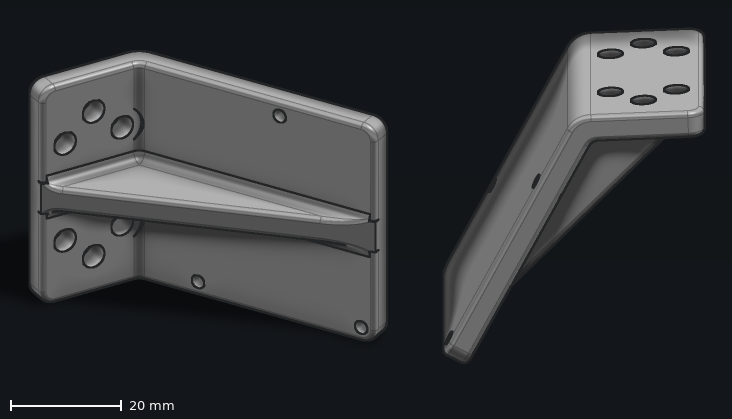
import cadquery as cq
import math

height = 45.0
thickness = 5.0
web_end = 63.5
bend_angle = 60.0
inner_bend_x = 14.2
inner_leg_length = 20.5
outer_bend_radius = 5.0
inner_bend_radius = 1.95
corner_radius = 3.0
edge_radius = 1.0

rib_width = 5.0
rib_root_radius = 1.95
rib_edge_radius = 1.0
flare_trim = 0.05
rib_tip_width = 6.3
tip_depth = 1.15

tolerance = 0.005

leg_hole_diameter = 4.5
leg_hole_edge_distance = 5.0
leg_hole_pitch = 5.95
inner_row_z = 10.0
outer_row_z = 15.0
screw_head_diameter = 8.0

web_hole_diameter = 2.6
web_hole_edge_distance = 3.0
web_hole_pitch = 17.0

angle = math.radians(bend_angle)
along_leg = cq.Vector(-math.cos(angle), -math.sin(angle), 0)
leg_normal = cq.Vector(math.sin(angle), -math.cos(angle), 0)

inner_bend = cq.Vector(inner_bend_x, -thickness, 0)
outer_bend = cq.Vector(inner_bend_x - thickness * math.tan(angle / 2), 0, 0)
inner_tip = inner_bend + along_leg * inner_leg_length
outer_tip = inner_tip - leg_normal * thickness
inner_web_corner = cq.Vector(web_end, -thickness, 0)
outer_web_corner = cq.Vector(web_end, 0, 0)


def prism(corners, depth):
    """Extrude a polygon in XY symmetrically about Z = 0."""
    points = [(corner.x, corner.y) for corner in corners]
    return cq.Workplane("XY").polyline(points).close().extrude(depth / 2, both=True)


def edges_at(solid, point):
    """Vertical edges passing through a corner of the section."""
    reach = 0.05
    low = (point.x - reach, point.y - reach, -height)
    high = (point.x + reach, point.y + reach, height)
    return solid.edges("|Z").edges(cq.selectors.BoxSelector(low, high))


def bent_plate():
    """Plate with a rounded bend, rounded free corners and rounded edges all round."""
    section = [outer_tip, outer_bend, outer_web_corner, inner_web_corner, inner_bend, inner_tip]
    plate = prism(section, height)
    plate = edges_at(plate, outer_bend).fillet(outer_bend_radius)
    plate = edges_at(plate, inner_bend).fillet(inner_bend_radius)

    leg_end = cq.selectors.DirectionMinMaxSelector(along_leg, True)
    end_edges = plate.faces(">X").edges("not |Z").vals() + plate.faces(leg_end).edges("not |Z").vals()
    plate = plate.newObject(end_edges).fillet(corner_radius)

    rims = plate.faces(">X").edges("|Z").vals() + plate.faces(leg_end).edges("|Z").vals()
    return plate.newObject(rims).fillet(edge_radius)


def rib_side_clearance():
    """Space beside the rib on +Z, rounded where the rib flares into the plate."""
    reach = 2 * web_end
    leg_far = inner_bend + along_leg * reach
    web_far = inner_bend + cq.Vector(reach, 0, 0)
    depth = height / 2
    space = prism([inner_bend, leg_far, web_far], depth)
    space = space.translate((0, 0, (depth + rib_width) / 2))
    space = edges_at(space, inner_bend).fillet(inner_bend_radius)
    near_bend = cq.selectors.NearestToPointSelector((inner_bend.x, inner_bend.y, 0))
    root_edge = space.faces("<Z").edges(near_bend)
    return root_edge.fillet(rib_root_radius)


def tip_block(corner, inward, normal):
    """Strip along one plate end, from below its inner face to above the flare."""
    block = [
        corner + normal * tip_depth,
        corner + (normal + inward) * tip_depth,
        corner + (inward - normal) * tip_depth,
        corner - normal * tip_depth,
    ]
    return prism(block, height)


def rib():
    """Rib joining the plate ends, with flared roots and a rounded sloping edge."""
    section = [
        inner_tip,
        inner_web_corner,
        inner_web_corner + cq.Vector(0, tip_depth, 0),
        outer_bend + (inner_bend - outer_bend) * 0.5,
        inner_tip - leg_normal * tip_depth,
    ]
    flare_width = rib_width + 2 * rib_root_radius - flare_trim
    clearance = rib_side_clearance()
    body = prism(section, flare_width).cut(clearance).cut(clearance.mirror("XY"))

    slope = inner_web_corner - inner_tip
    slope_normal = cq.Vector(slope.y, -slope.x, 0).normalized()
    slope_face = body.faces(cq.selectors.DirectionMinMaxSelector(slope_normal, True))
    slope_sides = [
        edge
        for edge in slope_face.edges("not |Z").vals()
        if rib_width / 2 - tolerance < abs(edge.Center().z) < flare_width / 2 - tolerance
    ]
    body = body.newObject(slope_sides).fillet(rib_edge_radius)

    middle = cq.Workplane("XY").box(4 * web_end, 4 * web_end, rib_tip_width)
    leg_tip = tip_block(inner_tip, -along_leg, leg_normal).cut(middle)
    web_tip = tip_block(inner_web_corner, cq.Vector(-1, 0, 0), cq.Vector(0, -1, 0)).cut(middle)
    return body.cut(leg_tip).cut(web_tip)


def cylinder_on_leg(distance, z, diameter, start, length):
    """Cylinder square to the leg; start is measured outward from its inner face."""
    center = inner_tip - along_leg * distance + leg_normal * start + cq.Vector(0, 0, z)
    return cq.Workplane(cq.Solid.makeCylinder(diameter / 2, length, center, leg_normal))


def leg_holes():
    """Both groups of leg holes, with screw head clearance at the bend."""
    tools = cq.Workplane("XY")
    nearest_bend = leg_hole_edge_distance + 2 * leg_hole_pitch
    for side in (-1, 1):
        for step, z in enumerate((inner_row_z, outer_row_z, inner_row_z)):
            distance = leg_hole_edge_distance + step * leg_hole_pitch
            hole = cylinder_on_leg(distance, side * z, leg_hole_diameter, -1.5 * thickness, 2 * thickness)
            tools = tools.add(hole)
        head = cylinder_on_leg(nearest_bend, side * inner_row_z, screw_head_diameter, 0, inner_bend_radius)
        tools = tools.add(head)
    return tools.combine()


def web_holes():
    """Three holes through the web: two along the bottom edge, one along the top."""
    row_z = height / 2 - web_hole_edge_distance
    last_x = web_end - web_hole_edge_distance
    places = [(last_x, -row_z), (last_x - web_hole_pitch, row_z), (last_x - 2 * web_hole_pitch, -row_z)]
    drill = cq.Workplane("XZ").pushPoints(places).circle(web_hole_diameter / 2)
    return drill.extrude(thickness, both=True)


result = bent_plate().union(rib()).cut(leg_holes()).cut(web_holes())